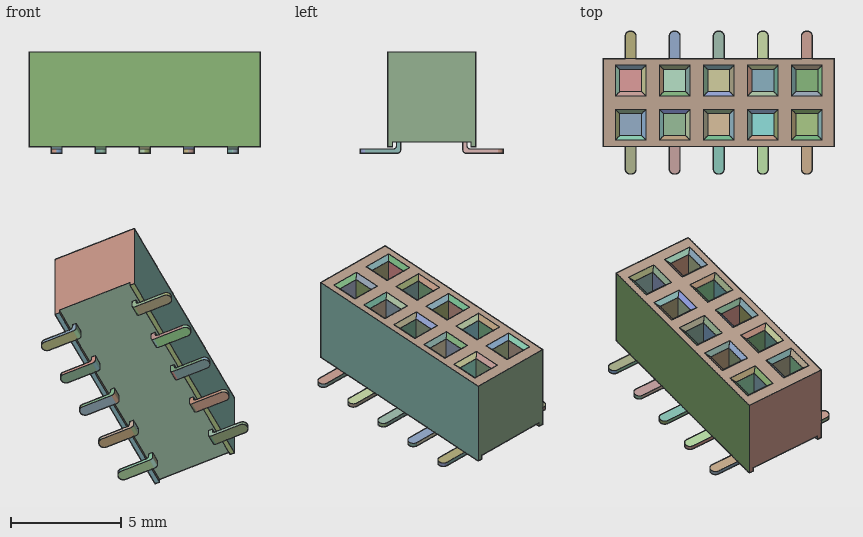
import cadquery as cq

columns = 5
pitch = 2.0
column_places = [(i - (columns - 1) / 2) * pitch for i in range(columns)]
row_offset = pitch / 2

length = 10.5
width = 4.0
top = 4.6
lip_bottom = 0.29
underside = 0.5
lip_thickness = 0.22

socket_side = 1.0
lead_in = 0.2
socket_depth = 2.2

lead_span = 6.5
lead_width = 0.5
lead_thickness = 0.2
lead_inner_face = 1.41
bend_radius = 0.15
tip_radius = 0.24


def housing():
    """Block with a long lip along each side of its underside."""
    block = cq.Workplane("XY").box(length, width, top - lip_bottom, centered=(True, True, False))
    block = block.translate((0, 0, lip_bottom))
    channel = cq.Workplane("XY", origin=(0, 0, lip_bottom)).box(
        length, width - 2 * lip_thickness, underside - lip_bottom, centered=(True, True, False)
    )
    return block.cut(channel)


def socket():
    """Square blind hole with a 45 degree lead-in, hanging down from Z = 0."""
    hole = cq.Workplane("XY").rect(socket_side, socket_side).extrude(-socket_depth)
    mouth_side = socket_side + 2 * lead_in
    funnel = cq.Workplane("XY").rect(mouth_side, mouth_side).extrude(-lead_in, taper=45)
    return hole.union(funnel)


def lead():
    """Bent lead on the +Y side: upright leg, rounded bend, flat foot with a rounded tip."""
    tip = lead_span / 2
    leg_outer_face = lead_inner_face + lead_thickness
    profile = (
        cq.Workplane("YZ", origin=(-lead_width / 2, 0, 0))
        .moveTo(lead_inner_face, underside)
        .lineTo(lead_inner_face, bend_radius)
        .radiusArc((lead_inner_face + bend_radius, 0), -bend_radius)
        .lineTo(tip, 0)
        .lineTo(tip, lead_thickness)
        .lineTo(leg_outer_face + bend_radius, lead_thickness)
        .radiusArc((leg_outer_face, lead_thickness + bend_radius), bend_radius)
        .lineTo(leg_outer_face, underside)
        .close()
    )
    return profile.extrude(lead_width).edges("|Z and >Y").fillet(tip_radius)


result = housing()
back_lead = lead()
front_lead = back_lead.mirror("XZ")
for x in column_places:
    for y in (-row_offset, row_offset):
        result = result.cut(socket().translate((x, y, top)))
    result = result.union(back_lead.translate((x, 0, 0)))
    result = result.union(front_lead.translate((x, 0, 0)))